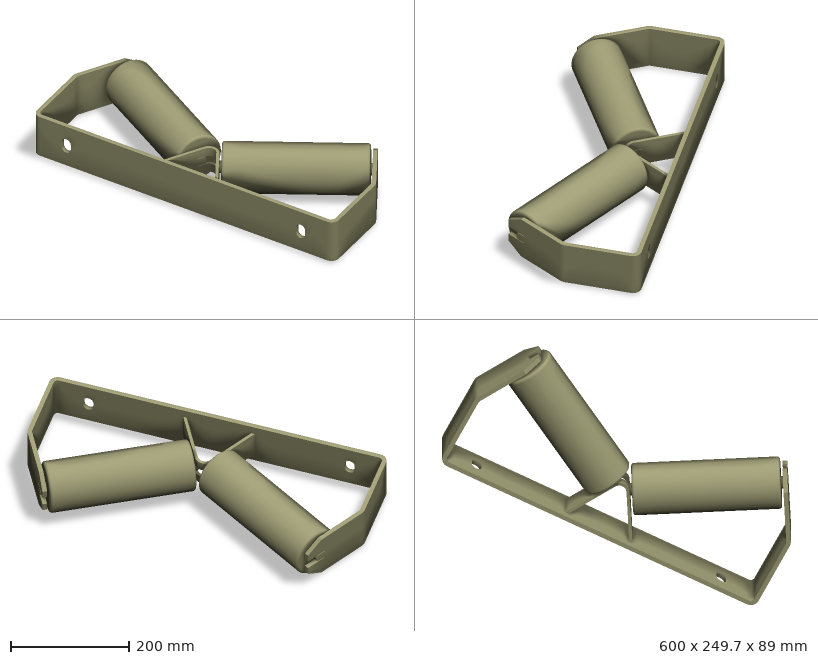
import math

import cadquery as cq


roller_diameter = 89.0
roller_length = 252.0
roller_edge_radius = 5.0
roller_tilt = math.radians(30)
roller_center_x = 132.0
roller_center_y = 150.0

shaft_diameter = 21.0
shaft_flat_width = 14.0
shaft_slot_width = 16.0
shaft_gap = 4.0

frame_length = 600.0
frame_height = 81.0
frame_thickness = 8.0
corner_bend_radius = 15.0
arm_bend_radius = 18.0
arm_overhang = 30.0
tip_chamfer_along = 30.0
tip_chamfer_across = 18.0

mount_slot_spacing = 465.5
mount_slot_width = 18.0
mount_slot_length = 27.5

bracket_thickness = 5.5
bracket_bend_radius = 18.0
bracket_height = 50.0

axis_x = math.cos(roller_tilt)
axis_y = math.sin(roller_tilt)
plate_distance = roller_length / 2 + shaft_gap
arm_outer_distance = plate_distance + frame_thickness
leg_inner_distance = plate_distance + bracket_thickness
sides = (1, -1)


def plate_point(along, across):
    """XY point at a distance along the right roller axis and a distance square to it."""
    return (roller_center_x + along * axis_x - across * axis_y,
            roller_center_y + along * axis_y + across * axis_x)


def plate_y(x, along):
    """Y at a given X on the plane square to the right roller axis."""
    return roller_center_y + (along - (x - roller_center_x) * axis_x) / axis_y


def plate_x(y, along):
    """X at a given Y on the plane square to the right roller axis."""
    return roller_center_x + (along - (y - roller_center_y) * axis_y) / axis_x


def axis_plane(side, along):
    """Work plane square to a roller axis, with its local X pointing up along the plates."""
    x, y = plate_point(along, 0)
    return cq.Workplane(cq.Plane(
        origin=(side * x, y, 0),
        xDir=(-side * axis_y, axis_x, 0),
        normal=(side * axis_x, axis_y, 0)))


def mirrored_strip(right_half, height):
    """Extrude the outline made of right-hand points and their mirror images."""
    left_half = [(-x, y) for x, y in reversed(right_half)]
    return cq.Workplane("XY").polyline(right_half + left_half).close().extrude(height / 2, both=True)


def round_bend(body, corner, radius):
    """Round the upright edge that stands at an XY corner."""
    return body.edges(cq.selectors.NearestToPointSelector((*corner, 0))).fillet(radius)


def flatted_bar(side, start, end, flat_width):
    """Piece of round shaft with two flats, running between two distances along a roller axis."""
    length = end - start
    bar = axis_plane(side, start).circle(shaft_diameter / 2).extrude(length)
    return bar.intersect(axis_plane(side, start).rect(shaft_diameter, flat_width).extrude(length))


def shaft_slot(side, start, end, opening):
    """Slot with a bottom that fits the shaft, open upward over a length from the shaft axis."""
    channel = (axis_plane(side, start).center(opening / 2, 0)
               .rect(opening, shaft_slot_width).extrude(end - start))
    return channel.union(flatted_bar(side, start, end, shaft_slot_width))


def tip_corners(side):
    """Two corner wedges that taper the tip of an arm."""
    edge = frame_height / 2
    wedges = axis_plane(side, plate_distance)
    for end in (edge, -edge):
        inset = end - math.copysign(tip_chamfer_across, end)
        wedges = wedges.moveTo(arm_overhang, end)
        wedges = wedges.lineTo(arm_overhang, inset)
        wedges = wedges.lineTo(arm_overhang - tip_chamfer_along, end).close()
    return wedges.extrude(frame_thickness)


def make_frame():
    half = frame_length / 2
    inner_half = half - frame_thickness
    corner_outer = (half, 0)
    corner_inner = (inner_half, frame_thickness)
    arm_bend_outer = (half, plate_y(half, arm_outer_distance))
    arm_bend_inner = (inner_half, plate_y(inner_half, plate_distance))
    body = mirrored_strip([
        corner_outer,
        arm_bend_outer,
        plate_point(arm_outer_distance, arm_overhang),
        plate_point(plate_distance, arm_overhang),
        arm_bend_inner,
        corner_inner,
    ], frame_height)

    bends = [
        (corner_outer, corner_bend_radius),
        (corner_inner, corner_bend_radius - frame_thickness),
        (arm_bend_outer, arm_bend_radius),
        (arm_bend_inner, arm_bend_radius - frame_thickness),
    ]
    for side in sides:
        for (x, y), radius in bends:
            body = round_bend(body, (side * x, y), radius)

    for side in sides:
        body = body.cut(shaft_slot(side, plate_distance, arm_outer_distance, arm_overhang))
        body = body.cut(tip_corners(side))

    mount_slots = (cq.Workplane("XZ").rarray(mount_slot_spacing, 6, 2, 1)
                   .slot2D(mount_slot_length, mount_slot_width, 90).extrude(-frame_thickness))
    return body.cut(mount_slots)


def make_bracket():
    foot_y = frame_thickness
    apex_outer = (0, plate_y(0, -plate_distance))
    apex_inner = (0, plate_y(0, -leg_inner_distance))
    foot_outer_x = plate_x(foot_y, -plate_distance)
    foot_inner_x = plate_x(foot_y, -leg_inner_distance)
    body = cq.Workplane("XY").polyline([
        apex_outer,
        (foot_outer_x, foot_y),
        (foot_inner_x, foot_y),
        apex_inner,
        (-foot_inner_x, foot_y),
        (-foot_outer_x, foot_y),
    ]).close().extrude(bracket_height / 2, both=True)
    body = round_bend(body, apex_outer, bracket_bend_radius)
    body = round_bend(body, apex_inner, bracket_bend_radius - bracket_thickness)

    for side in sides:
        body = body.cut(shaft_slot(side, -leg_inner_distance, -plate_distance, shaft_diameter))
    slot_y = plate_point(-plate_distance, 0)[1]
    fold_slot = (cq.Workplane("XY").box(2 * foot_outer_x, apex_outer[1] - slot_y, shaft_slot_width)
                 .translate((0, (apex_outer[1] + slot_y) / 2, 0)))
    return body.cut(fold_slot)


def make_roller(side):
    drum = (axis_plane(side, -roller_length / 2).circle(roller_diameter / 2)
            .extrude(roller_length).edges().fillet(roller_edge_radius))
    shaft = (axis_plane(side, -plate_distance).circle(shaft_diameter / 2)
             .extrude(2 * plate_distance))
    flatted_ends = flatted_bar(side, -leg_inner_distance, arm_outer_distance, shaft_flat_width)
    return drum.union(shaft).union(flatted_ends)


frame = make_frame()
bracket = make_bracket()
rollers = [make_roller(side) for side in sides]

result = cq.Compound.makeCompound([
    frame.solids().val(),
    bracket.solids().val(),
    *[roller.solids().val() for roller in rollers],
])